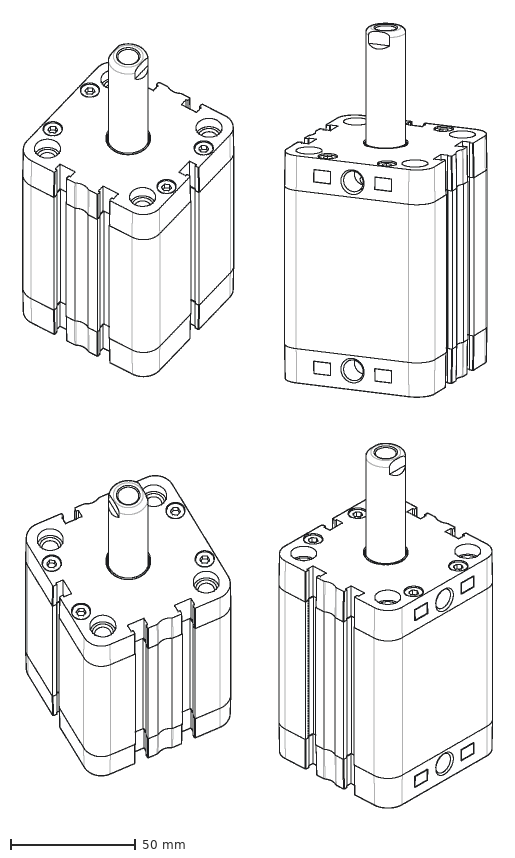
import cadquery as cq
import math

total_height = 143.0
body_width = 65.5
body_height = 95.0
cap_height = 14.5
barrel_top = body_height - cap_height
half_width = body_width / 2
cut_overrun = 1.5

corner_radius = 8.0
cap_draft = 1.0

slot_offset = 10.6
slot_neck_depth = 2.0
slot_neck_width = 5.7
barrel_slot_width = 6.7
cap_slot_width = 7.5
slot_depth = 5.3
cap_groove_chamfer = 0.3

groove_width = 6.3
groove_depth = 1.0

rod_diameter = 16.0
rod_tip_fillet = 2.0
flat_width = 13.0
flat_length = 5.5
rod_bore_diameter = 8.5
rod_bore_mouth = 9.5
rod_bore_depth = 17.2
drill_point_angle = 118.0

rod_hole_diameter = 16.6
rod_groove_diameter = 18.0
rod_groove_depth = 0.6

mount_offset = 23.3
mount_diameter = 6.6
mount_mouth = 8.5
mount_counterbore = 10.5
mount_counterbore_depth = 4.9

screw_x = 27.9
screw_y = 13.0
screw_head_diameter = 7.5
screw_recess_diameter = 7.7
screw_recess_depth = 0.6
screw_ring_depth = 1.5
socket_across_flats = 3.5
socket_depth = 2.1

port_inset = 8.0
port_diameter = 8.6
port_mouth = 10.5
port_depth = 11.5
passage_diameter = 3.5
passage_drop = 2.1
passage_depth = 4.3
label_offset = 13.5
label_inset = 7.5
label_width = 7.3
label_height = 5.1
label_depth = 0.5


def cylinder_down(diameter, top, depth):
    """Cylinder on the Z axis, reaching down from the height `top`."""
    return cq.Workplane("XY").workplane(offset=top).circle(diameter / 2).extrude(-depth)


def cone_down(diameter, end_diameter, top, depth):
    """Cone on the Z axis that narrows downward from the height `top`."""
    return cq.Workplane(
        cq.Solid.makeCone(diameter / 2, end_diameter / 2, depth, cq.Vector(0, 0, top), cq.Vector(0, 0, -1))
    )


def countersink(mouth, diameter, top):
    """45 degree chamfer tool from the mouth diameter down to the hole diameter."""
    return cone_down(mouth, diameter, top, (mouth - diameter) / 2)


def at_points(tool, points):
    """Copies of a tool moved to each (x, y) point."""
    return [tool.translate((x, y, 0)) for x, y in points]


def cut_all(body, tools):
    for tool in tools:
        body = body.cut(tool)
    return body


def t_slot(width, height):
    """T-slot tool that opens on the +Y side, centred at X = 0."""
    neck = slot_neck_width / 2
    wide = width / 2
    mouth = half_width + cut_overrun
    lip = half_width - slot_neck_depth
    floor = half_width - slot_depth
    right_side = [(neck, mouth), (neck, lip), (wide, lip), (wide, floor)]
    left_side = [(-x, y) for x, y in reversed(right_side)]
    return cq.Workplane("XY").polyline(right_side + left_side).close().extrude(height)


def round_groove(height, draft):
    """Round groove tool for the +Y side, centred at X = 0 and widening upward by the draft."""
    radius = ((groove_width / 2) ** 2 + groove_depth**2) / (2 * groove_depth)
    axis_y = half_width - groove_depth + radius
    return cq.Workplane("XY").center(0, axis_y).circle(radius).extrude(height, taper=-draft)


def profile_block(height, width_of_slots, draft=0):
    """Rounded square block on Z = 0 with its T-slots and round grooves; draft narrows it upward."""
    outline = cq.Sketch().rect(body_width, body_width).vertices().fillet(corner_radius)
    block = cq.Workplane("XY").placeSketch(outline).extrude(height, taper=draft)
    slot = t_slot(width_of_slots, height)
    grooves = [
        slot.translate((-slot_offset, 0, 0)),
        slot.translate((slot_offset, 0, 0)),
        round_groove(height, draft),
    ]
    for groove in grooves:
        block = block.cut(groove).cut(groove.mirror("XZ"))
    return block.cut(slot.rotate((0, 0, 0), (0, 0, 1), -90))


def is_groove_mouth_edge(edge):
    """True for the upright edges where a slot or round groove of a cap meets an outer wall."""
    center = edge.Center()
    across, along = sorted((abs(center.x), abs(center.y)))
    upright = edge.BoundingBox().zlen > cap_height / 2
    return upright and along > half_width - slot_neck_depth / 2 and across < slot_offset + slot_neck_width


def cap_blank():
    """Plain cap standing on its barrel face at Z = 0, with its outer end up."""
    blank = profile_block(cap_height, cap_slot_width, cap_draft)
    return blank.edges().filter(is_groove_mouth_edge).chamfer(cap_groove_chamfer)


def sideways(tool, z):
    """Turn a tool that reaches down from Z = 0 so that it reaches in from the -X side at height z."""
    return tool.rotate((0, 0, 0), (0, 1, 0), -90).translate((-half_width, 0, z))


def cut_port(cap, z):
    hole = cylinder_down(port_diameter, 0, port_depth)
    mouth = countersink(port_mouth, port_diameter, 0)
    return cap.cut(sideways(hole, z)).cut(sideways(mouth, z))


def cut_labels(cap, z):
    for y in (-label_offset, label_offset):
        recess = cq.Workplane("XY").box(2 * label_depth, label_width, label_height)
        cap = cap.cut(recess.translate((-half_width, y, z)))
    return cap


def make_barrel():
    return profile_block(barrel_top - cap_height, barrel_slot_width).translate((0, 0, cap_height))


def make_bottom_cap():
    cap = cap_blank().mirror("XY").translate((0, 0, cap_height))
    cap = cut_port(cap, port_inset)
    return cut_labels(cap, label_inset)


def cut_rod_passage(cap):
    cap = cap.cut(cylinder_down(rod_hole_diameter, body_height, cap_height))
    inner = rod_hole_diameter / 2
    outer = rod_groove_diameter / 2
    v_groove = (
        cq.Workplane("XZ")
        .moveTo(inner, body_height)
        .lineTo((inner + outer) / 2, body_height - rod_groove_depth)
        .lineTo(outer, body_height)
        .close()
        .revolve(360, (0, 0, 0), (0, 1, 0))
    )
    return cap.cut(v_groove)


def cut_mounting_holes(cap):
    counterbore_floor = body_height - mount_counterbore_depth
    tools = [
        cylinder_down(mount_diameter, body_height, cap_height),
        cylinder_down(mount_counterbore, body_height, mount_counterbore_depth),
        countersink(mount_mouth, mount_diameter, counterbore_floor),
    ]
    points = [(x, y) for x in (-mount_offset, mount_offset) for y in (-mount_offset, mount_offset)]
    for tool in tools:
        cap = cut_all(cap, at_points(tool, points))
    return cap


def cut_screw_heads(cap):
    recess = cylinder_down(screw_recess_diameter, body_height, screw_recess_depth)
    ring = cylinder_down(screw_recess_diameter, body_height, screw_ring_depth)
    ring = ring.cut(cylinder_down(screw_head_diameter, body_height, screw_ring_depth))
    head_face = body_height - screw_recess_depth
    across_corners = socket_across_flats / math.cos(math.radians(30))
    socket = cq.Workplane("XY").workplane(offset=head_face).polygon(6, across_corners).extrude(-socket_depth)
    socket = socket.rotate((0, 0, 0), (0, 0, 1), 30)
    points = [(x, y) for x in (-screw_x, screw_x) for y in (-screw_y, screw_y)]
    return cut_all(cap, [
        *at_points(recess, points),
        *at_points(ring, points),
        *at_points(socket, points),
    ])


def make_top_cap():
    cap = cap_blank().translate((0, 0, barrel_top))
    cap = cut_rod_passage(cap)
    cap = cut_mounting_holes(cap)
    cap = cut_screw_heads(cap)
    port_height = body_height - port_inset
    cap = cut_port(cap, port_height)
    passage = cylinder_down(passage_diameter, 0, port_depth + passage_depth)
    cap = cap.cut(sideways(passage, port_height - passage_drop))
    return cut_labels(cap, body_height - label_inset)


def make_rod():
    """Rod standing on the barrel, with two wrench flats and a bored, rounded tip."""
    rod = cylinder_down(rod_diameter, total_height, total_height - barrel_top)
    rod = rod.faces(">Z").edges().fillet(rod_tip_fillet)

    flat_x = flat_width / 2
    outer_x = rod_diameter / 2 + cut_overrun
    shoulder_z = total_height - flat_length
    flat = (
        cq.Workplane("XZ")
        .moveTo(flat_x, total_height)
        .lineTo(flat_x, shoulder_z)
        .lineTo(outer_x, shoulder_z - (outer_x - flat_x))
        .lineTo(outer_x, total_height)
        .close()
        .extrude(rod_diameter / 2, both=True)
    )
    rod = rod.cut(flat).cut(flat.mirror("YZ"))

    point_depth = rod_bore_diameter / 2 / math.tan(math.radians(drill_point_angle / 2))
    rod = rod.cut(cylinder_down(rod_bore_diameter, total_height, rod_bore_depth))
    rod = rod.cut(cone_down(rod_bore_diameter, 0, total_height - rod_bore_depth, point_depth))
    return rod.cut(countersink(rod_bore_mouth, rod_bore_diameter, total_height))


barrel = make_barrel()
bottom_cap = make_bottom_cap()
top_cap = make_top_cap()
rod = make_rod()

result = cq.Compound.makeCompound([barrel.val(), bottom_cap.val(), top_cap.val(), rod.val()])